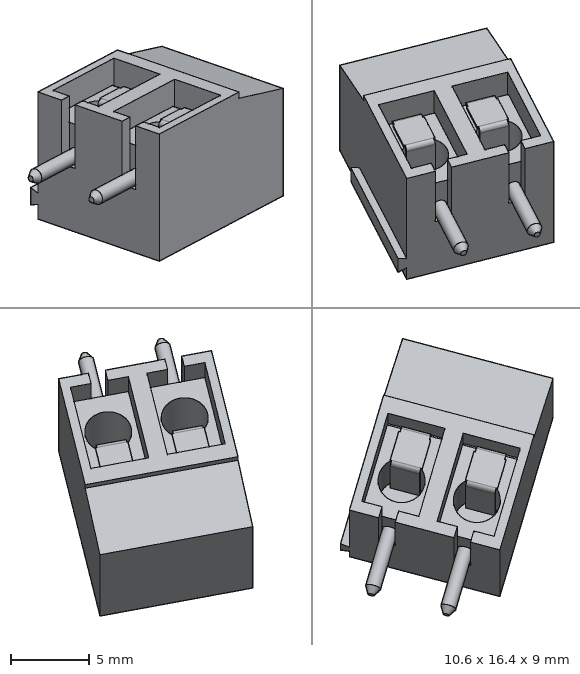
import cadquery as cq


OVERALL_LENGTH = 16.4

HOUSING_WIDTH = 10.0
HOUSING_DEPTH = 12.6
HOUSING_HEIGHT = 9.0
ROOF_DEPTH = 8.1
ROOF_STEP = 0.45
SLOPE_DROP = 1.4

RAIL_REACH = 0.59
RAIL_LENGTH = 8.87
RAIL_CENTRE_Z = 1.45
RAIL_ROOT_HEIGHT = 0.82
RAIL_OUTER_HEIGHT = 1.25

POLE_PITCH = 5.0
POLE_COUNT = 2
FIRST_POLE_X = (HOUSING_WIDTH - (POLE_COUNT - 1) * POLE_PITCH) / 2

PIN_DIAMETER = 1.0
PIN_REACH = OVERALL_LENGTH - HOUSING_DEPTH
PIN_AXIS_Z = HOUSING_HEIGHT - 4.0
PIN_TIP_DIAMETER = 0.41
PIN_TIP_LENGTH = 0.51

POCKET_WIDTH = 3.79
POCKET_LENGTH = 6.2
FRONT_WALL = 0.79
POCKET_BACK_Y = FRONT_WALL + POCKET_LENGTH
SLOT_WIDTH = 1.1

CLAMP_TOP_Z = HOUSING_HEIGHT - 1.85
CLAMP_HEIGHT = 2 * (CLAMP_TOP_Z - PIN_AXIS_Z)
CLAMP_BOTTOM_Z = CLAMP_TOP_Z - CLAMP_HEIGHT
CLAMP_CHAMFER = 0.15
WIRE_HOLE_DIAMETER = 3.0
WIRE_HOLE_Y = 3.46

GUARD_THICKNESS = 0.18
GUARD_WIDTH = 2.13
GUARD_NARROW_WIDTH = 1.95
GUARD_BEND_RADIUS = 0.31
GUARD_FRONT_Y = 4.23
GUARD_WIDE_FRONT_Y = GUARD_FRONT_Y + GUARD_BEND_RADIUS
GUARD_WIDE_BACK_Y = 6.56


def side_sketch(x):
    """Workplane normal to X, with local axes along +Y and +Z."""
    return cq.Workplane("YZ", origin=(x, 0, 0))


def housing_shell():
    """Solid housing whose top steps down and slopes towards the back."""
    return (
        side_sketch(0)
        .polyline(
            [
                (0, 0),
                (HOUSING_DEPTH, 0),
                (HOUSING_DEPTH, HOUSING_HEIGHT - SLOPE_DROP),
                (ROOF_DEPTH, HOUSING_HEIGHT - ROOF_STEP),
                (ROOF_DEPTH, HOUSING_HEIGHT),
                (0, HOUSING_HEIGHT),
            ]
        )
        .close()
        .extrude(HOUSING_WIDTH)
    )


def dovetail_rail():
    """Rail that widens outwards from the -X side, starting at the front face."""
    return (
        cq.Workplane("XZ")
        .polyline(
            [
                (0, RAIL_CENTRE_Z - RAIL_ROOT_HEIGHT / 2),
                (0, RAIL_CENTRE_Z + RAIL_ROOT_HEIGHT / 2),
                (-RAIL_REACH, RAIL_CENTRE_Z + RAIL_OUTER_HEIGHT / 2),
                (-RAIL_REACH, RAIL_CENTRE_Z - RAIL_OUTER_HEIGHT / 2),
            ]
        )
        .close()
        .extrude(-RAIL_LENGTH)
    )


def pocket_opening(pole_x):
    """Rectangular pocket, open at the top."""
    return cq.Workplane("XY").box(
        POCKET_WIDTH, POCKET_LENGTH, HOUSING_HEIGHT - CLAMP_BOTTOM_Z, centered=(True, False, False)
    ).translate((pole_x, FRONT_WALL, CLAMP_BOTTOM_Z))


def pin_slot(pole_x):
    """Slot through the front wall, from the top down to the underside of the pin."""
    slot_floor_z = PIN_AXIS_Z - PIN_DIAMETER / 2
    return cq.Workplane("XY").box(
        SLOT_WIDTH, FRONT_WALL, HOUSING_HEIGHT - slot_floor_z, centered=(True, False, False)
    ).translate((pole_x, 0, slot_floor_z))


def make_housing(pole_positions):
    housing = housing_shell().union(dovetail_rail())
    for pole_x in pole_positions:
        housing = housing.cut(pocket_opening(pole_x)).cut(pin_slot(pole_x))
    return housing


def make_clamp(pole_x):
    """Block with a chamfered top back edge and a wire hole down through it."""
    block = (
        cq.Workplane("XY")
        .box(POCKET_WIDTH, POCKET_LENGTH, CLAMP_HEIGHT, centered=(True, False, False))
        .translate((pole_x, FRONT_WALL, CLAMP_BOTTOM_Z))
        .edges(">Y and >Z")
        .chamfer(CLAMP_CHAMFER)
    )
    wire_hole = (
        cq.Workplane("XY", origin=(pole_x, WIRE_HOLE_Y, CLAMP_BOTTOM_Z))
        .circle(WIRE_HOLE_DIAMETER / 2)
        .extrude(CLAMP_HEIGHT)
    )
    return block.cut(wire_hole)


def make_guard(pole_x):
    """Sheet plate, rounded off at the back wall and bent down at the front."""
    leg_back_y = GUARD_FRONT_Y + GUARD_THICKNESS
    top_z = CLAMP_TOP_Z + GUARD_THICKNESS
    inner_radius = GUARD_BEND_RADIUS - GUARD_THICKNESS
    strip = (
        side_sketch(pole_x)
        .moveTo(GUARD_FRONT_Y, CLAMP_BOTTOM_Z)
        .lineTo(GUARD_FRONT_Y, top_z - GUARD_BEND_RADIUS)
        .radiusArc((GUARD_WIDE_FRONT_Y, top_z), GUARD_BEND_RADIUS)
        .lineTo(POCKET_BACK_Y - GUARD_THICKNESS, top_z)
        .radiusArc((POCKET_BACK_Y, CLAMP_TOP_Z), GUARD_THICKNESS)
        .lineTo(GUARD_WIDE_FRONT_Y, CLAMP_TOP_Z)
        .radiusArc((leg_back_y, CLAMP_TOP_Z - inner_radius), -inner_radius)
        .lineTo(leg_back_y, CLAMP_BOTTOM_Z)
        .close()
        .extrude(GUARD_NARROW_WIDTH / 2, both=True)
    )
    wide_plate = (
        cq.Workplane("XY")
        .box(
            GUARD_WIDTH,
            GUARD_WIDE_BACK_Y - GUARD_WIDE_FRONT_Y,
            GUARD_THICKNESS,
            centered=(True, False, False),
        )
        .translate((pole_x, GUARD_WIDE_FRONT_Y, CLAMP_TOP_Z))
    )
    return strip.union(wide_plate)


def make_pin(pole_x):
    """Round pin with a conical tip, butting against the front of the clamp."""
    tip_taper = (PIN_DIAMETER - PIN_TIP_DIAMETER) / 2
    return (
        cq.Workplane("XZ", origin=(pole_x, FRONT_WALL, PIN_AXIS_Z))
        .circle(PIN_DIAMETER / 2)
        .extrude(FRONT_WALL + PIN_REACH)
        .faces("<Y")
        .chamfer(PIN_TIP_LENGTH, tip_taper)
    )


pole_positions = [FIRST_POLE_X + index * POLE_PITCH for index in range(POLE_COUNT)]

housing = make_housing(pole_positions)
clamps = [make_clamp(pole_x) for pole_x in pole_positions]
guards = [make_guard(pole_x) for pole_x in pole_positions]
pins = [make_pin(pole_x) for pole_x in pole_positions]

result = cq.Compound.makeCompound(
    [housing.val()] + [body.val() for body in clamps + guards + pins]
)